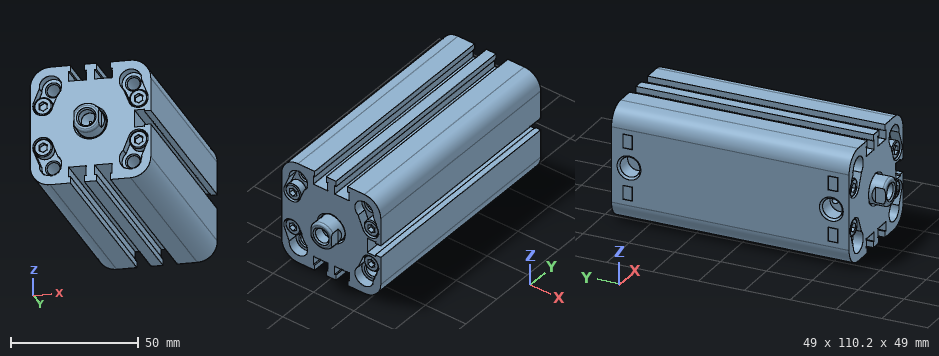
import cadquery as cq
import math


side = 49.0
half_side = side / 2
overall_length = 110.2
rod_length = 6.5
body_length = overall_length - rod_length
corner_radius = 8.2

slot_depth = 6.6
slot_width = 7.0
mouth_depth = 2.6
mouth_width = 5.7
slot_offset = 5.3

mount_spacing = 32.5
mount_offset = mount_spacing / 2
mount_diameter = 5.2
mount_chamfer_diameter = 6.3
recess_mount_diameter = 9.0
recess_slot_width = 8.0
recess_depth = 4.4

screw_x = 19.4
screw_z = 8.6
head_diameter = 7.5
head_height = 3.9
head_chamfer = 0.4
hex_across_flats = 3.4
hex_depth = 2.2

port_distance = 7.7
port_diameter = 8.6
port_chamfer_diameter = 10.4
port_depth = 7.7
air_hole_diameter = 2.5
air_hole_shift = 2.1
air_hole_depth = 5.5

label_distance = 7.0
label_z = 11.1
label_length = 4.1
label_height = 6.0
label_depth = 0.2

rod_diameter = 12.0
rod_fillet = 1.1
flats_width = 10.0
flats_start = 2.1
gap_diameter = 13.8
gap_inner_diameter = 12.5
gap_depth = 1.1
thread_diameter = 6.6
thread_mouth_diameter = 7.9
thread_depth = 5.0
drill_point_angle = 118
drill_tip_diameter = 1.0


def cylinder_y(diameter, start, length):
    """Cylinder on the Y axis, running towards +Y from y = start."""
    return cq.Workplane("XZ", origin=(0, start, 0)).circle(diameter / 2).extrude(-length)


def cone_y(start_diameter, end_diameter, start, length):
    """Cone frustum on the Y axis, running towards +Y from y = start."""
    axis, direction = cq.Vector(0, start, 0), cq.Vector(0, 1, 0)
    return cq.Workplane(cq.Solid.makeCone(start_diameter / 2, end_diameter / 2, length, axis, direction))


def sensor_slot():
    """Slot open to +Z, along the full body, centred on x = 0."""
    channel_height = slot_depth - mouth_depth
    channel = cq.Workplane().box(slot_width, body_length, channel_height, centered=(True, False, False))
    mouth = cq.Workplane().box(mouth_width, body_length, slot_depth, centered=(True, False, False))
    return channel.union(mouth).translate((0, 0, half_side - slot_depth))


def body():
    block = cq.Workplane().box(side, body_length, side, centered=(True, False, True))
    block = block.edges("|Y").fillet(corner_radius)
    slot = sensor_slot()
    for turn in (0, 180):
        for x in (-slot_offset, slot_offset):
            block = block.cut(slot.translate((x, 0, 0)).rotate((0, 0, 0), (0, 1, 0), turn))
    return block.cut(slot.rotate((0, 0, 0), (0, 1, 0), 90))


def recess():
    """Round pocket about the mounting hole with a slot to the cap screw, in the +X +Z corner."""
    run_x = screw_x - mount_offset
    run_z = screw_z - mount_offset
    run = math.hypot(run_x, run_z)
    slot = cq.Workplane("XZ").center((screw_x + mount_offset) / 2, (screw_z + mount_offset) / 2)
    slot = slot.slot2D(run + recess_slot_width, recess_slot_width, math.degrees(math.atan2(run_z, run_x)))
    pocket = cylinder_y(recess_mount_diameter, 0, recess_depth).translate((mount_offset, 0, mount_offset))
    return pocket.union(slot.extrude(-recess_depth))


def corner_cut():
    """Mounting hole, its chamfer and the recess, in the +X +Z corner."""
    chamfer_length = (mount_chamfer_diameter - mount_diameter) / 2
    hole = cylinder_y(mount_diameter, 0, body_length)
    hole = hole.union(cone_y(mount_chamfer_diameter, mount_diameter, recess_depth, chamfer_length))
    return recess().union(hole.translate((mount_offset, 0, mount_offset)))


def cap_screw():
    """Socket head standing on the recess floor, in the +X +Z corner."""
    head = cylinder_y(head_diameter, recess_depth - head_height, head_height)
    head = head.faces("<Y").chamfer(head_chamfer)
    hex_diameter = hex_across_flats / math.cos(math.pi / 6)
    socket = cq.Workplane("XZ", origin=(0, recess_depth - head_height, 0))
    socket = socket.transformed(rotate=(0, 0, 30)).polygon(6, hex_diameter).extrude(-hex_depth)
    return head.cut(socket).translate((screw_x, 0, screw_z))


def in_four_corners(shape):
    right = shape.union(shape.mirror("XY"))
    return right.union(right.mirror("YZ"))


def port_cut():
    """Front port with its air hole and two label panels."""
    chamfer_length = (port_chamfer_diameter - port_diameter) / 2
    face = cq.Workplane("YZ", origin=(-half_side, 0, 0))
    port = face.center(port_distance, 0).circle(port_diameter / 2).extrude(port_depth)
    mouth = cq.Solid.makeCone(
        port_chamfer_diameter / 2,
        port_diameter / 2,
        chamfer_length,
        cq.Vector(-half_side, port_distance, 0),
        cq.Vector(1, 0, 0),
    )
    air_hole = face.center(port_distance + air_hole_shift, 0).circle(air_hole_diameter / 2)
    air_hole = air_hole.extrude(port_depth + air_hole_depth)
    labels = face.pushPoints([(label_distance, -label_z), (label_distance, label_z)])
    labels = labels.rect(label_length, label_height).extrude(label_depth)
    return port.union(cq.Workplane(mouth)).union(air_hole).union(labels)


def rod_gap():
    """Tapered gap round the rod where it leaves the body."""
    return cone_y(gap_diameter, gap_inner_diameter, 0, gap_depth)


def rod():
    """Rod end with two wrench flats; the flats run out at 45 degrees."""
    rod_radius = rod_diameter / 2
    half_flats = flats_width / 2
    shaft = cylinder_y(rod_diameter, -rod_length, rod_length + gap_depth)
    shaft = shaft.faces("<Y").edges().fillet(rod_fillet)
    flat = cq.Workplane("XY").polyline(
        [
            (half_flats, -rod_length),
            (half_flats, -flats_start),
            (half_flats + flats_start, 0),
            (half_flats + flats_start, -rod_length),
        ]
    )
    flat = flat.close().extrude(rod_radius, both=True)
    return shaft.cut(flat).cut(flat.mirror("YZ"))


def thread_hole():
    """Blind hole in the rod end with a chamfered mouth and a drill point with a small flat tip."""
    mouth_length = (thread_mouth_diameter - thread_diameter) / 2
    point_length = (thread_diameter - drill_tip_diameter) / 2 / math.tan(math.radians(drill_point_angle / 2))
    hole = cylinder_y(thread_diameter, -rod_length, thread_depth)
    hole = hole.union(cone_y(thread_mouth_diameter, thread_diameter, -rod_length, mouth_length))
    point = cone_y(thread_diameter, drill_tip_diameter, thread_depth - rod_length, point_length)
    return hole.union(point)


front_port = port_cut()
rear_port = front_port.mirror("XZ").translate((0, body_length, 0))

result = body().cut(in_four_corners(corner_cut())).union(in_four_corners(cap_screw()))
result = result.cut(front_port).cut(rear_port)
result = result.cut(rod_gap()).union(rod()).cut(thread_hole())